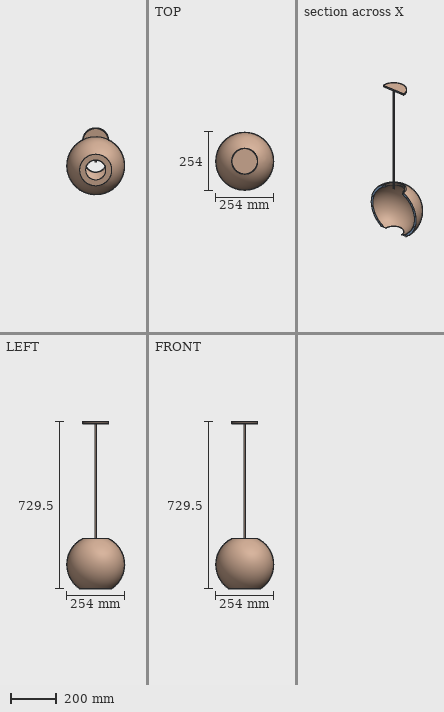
import cadquery as cq
import math

TOTAL_HEIGHT = 729.5

GLOBE_RADIUS = 127.0
WALL_THICKNESS = 12.5
SHADE_HEIGHT = 220.0
BOTTOM_RIM_RADIUS = 70.0
TOP_OPENING_RADIUS = 48.0
GLOBE_CENTER_Z = math.sqrt(GLOBE_RADIUS**2 - BOTTOM_RIM_RADIUS**2)

CANOPY_RADIUS = 57.0
CANOPY_THICKNESS = 9.5
CANOPY_CHAMFER = 1.8
CANOPY_BOTTOM_Z = TOTAL_HEIGHT - CANOPY_THICKNESS

ROD_RADIUS = 4.0
ROD_INSERTION = 1.5
ROD_BOTTOM_Z = SHADE_HEIGHT - ROD_INSERTION


def cylinder(radius, bottom_z, top_z):
    """Upright cylinder on the lamp axis."""
    return cq.Workplane("XY").workplane(offset=bottom_z).circle(radius).extrude(top_z - bottom_z)


def globe(radius):
    """Full sphere about the centre of the shade."""
    return cq.Workplane("XY").sphere(radius).translate((0, 0, GLOBE_CENTER_Z))


def make_shade():
    """Hollow globe, open at its bottom cut and bored through at its top cut."""
    flat_cut_globe = globe(GLOBE_RADIUS).intersect(cylinder(GLOBE_RADIUS + WALL_THICKNESS, 0, SHADE_HEIGHT))
    hollow = flat_cut_globe.cut(globe(GLOBE_RADIUS - WALL_THICKNESS))
    return hollow.cut(cylinder(TOP_OPENING_RADIUS, GLOBE_CENTER_Z, SHADE_HEIGHT))


def make_canopy():
    """Thin disc with a chamfered lower edge."""
    return cylinder(CANOPY_RADIUS, CANOPY_BOTTOM_Z, TOTAL_HEIGHT).faces("<Z").edges().chamfer(CANOPY_CHAMFER)


shade = make_shade()
canopy = make_canopy()
rod = cylinder(ROD_RADIUS, ROD_BOTTOM_Z, CANOPY_BOTTOM_Z)

result = cq.Compound.makeCompound([shade.val(), canopy.val(), rod.val()])